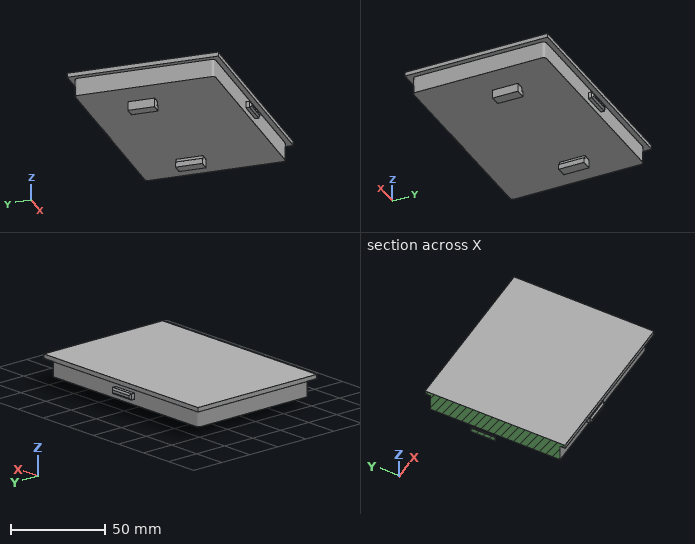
import cadquery as cq

plate_length = 123.0
plate_width = 85.0
plate_thickness = 2.5

body_inset = 3.0
body_length = plate_length - 2 * body_inset
body_width = plate_width - 2 * body_inset
body_height = 10.0
body_corner_radius = 2.0

latch_length = 15.0
latch_height = 3.5
latch_chamfer = 1.0

foot_height = 5.0
foot_outer_x = 42.0
foot_length = 6.0
foot_width = 15.0
foot_center_y = 7.5
hook_reach = 1.0
hook_gap = 2.0

body_bottom = foot_height
body_top = body_bottom + body_height


def make_plate():
    plate = cq.Workplane("XY", origin=(0, 0, body_top))
    return plate.rect(plate_length, plate_width).extrude(plate_thickness)


def make_body():
    body = cq.Workplane("XY", origin=(0, 0, body_bottom))
    body = body.rect(body_length, body_width).extrude(body_height)
    return body.edges("|Z").fillet(body_corner_radius)


def make_front_latch():
    """Latch at mid-height of the body on the -Y side, with all four edges of its outer face chamfered."""
    center_y = -(plate_width - body_inset) / 2
    center_z = body_bottom + body_height / 2
    latch = cq.Workplane("XY").box(latch_length, body_inset, latch_height)
    latch = latch.faces("<Y").edges().chamfer(latch_chamfer)
    return latch.translate((0, center_y, center_z))


def make_right_foot():
    """Foot near the +X end, with its hook pointing toward the middle."""
    hook_x = foot_outer_x - foot_length
    stem_x = hook_x + hook_reach
    profile = [
        (foot_outer_x, body_bottom),
        (foot_outer_x, 0),
        (hook_x, 0),
        (hook_x, body_bottom - hook_gap),
        (stem_x, body_bottom - hook_gap),
        (stem_x, body_bottom),
    ]
    foot = cq.Workplane("XZ", origin=(0, foot_center_y, 0)).polyline(profile).close()
    return foot.extrude(foot_width / 2, both=True)


front_latch = make_front_latch()
right_foot = make_right_foot()

result = make_plate().union(make_body())
result = result.union(front_latch).union(front_latch.mirror("XZ"))
result = result.union(right_foot).union(right_foot.mirror("YZ"))